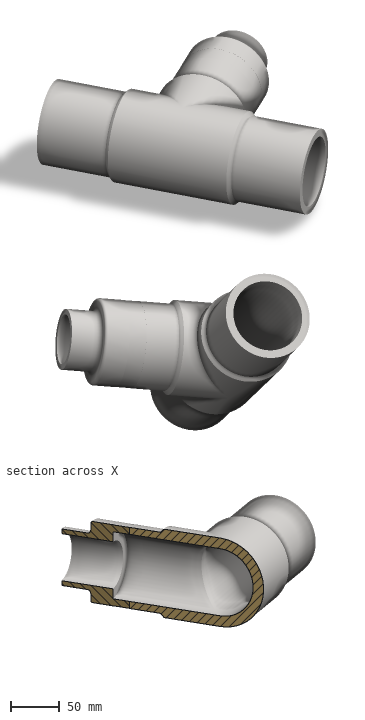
import cadquery as cq

run_length = 286.0
hub_diameter = 98.0
run_diameter = 89.8
branch_diameter = 90.0
bore_diameter = 73.5
hub_half_length = 68.5
branch_hub_end = 67.2
branch_end = 101.8
hub_chamfer = 4.3

overall_depth = 226.8
band_diameter = 89.8
band_length = 18.0
shoulder_length = 43.8
shoulder_radius = 3.0
neck_radius = 3.5
spigot_diameter = 63.0
spigot_bore_diameter = 51.5


def branch_cylinder(diameter, start, end):
    """Cylinder about the Y axis, from Y = start to Y = end."""
    plane = cq.Plane(origin=(0, start, 0), xDir=(1, 0, 0), normal=(0, 1, 0))
    return cq.Workplane(plane).circle(diameter / 2).extrude(end - start)


def run_cylinder(diameter, length):
    """Cylinder about the X axis, centred on the origin."""
    return cq.Workplane("YZ").circle(diameter / 2).extrude(length / 2, both=True)


def make_tee():
    run_hub = run_cylinder(hub_diameter, 2 * hub_half_length).faces("<X or >X").chamfer(hub_chamfer)
    branch_hub = branch_cylinder(hub_diameter, 0, branch_hub_end).faces(">Y").chamfer(hub_chamfer)
    body = run_hub.union(branch_hub)
    body = body.union(run_cylinder(run_diameter, run_length))
    body = body.union(branch_cylinder(branch_diameter, 0, branch_end))
    body = body.cut(run_cylinder(bore_diameter, run_length))
    return body.cut(branch_cylinder(bore_diameter, 0, branch_end))


def make_reducer():
    band_end = branch_end + band_length
    shoulder_end = branch_end + shoulder_length
    reducer_end = overall_depth - hub_diameter / 2
    profile = (
        cq.Workplane("XY")
        .moveTo(0, branch_end)
        .lineTo(band_diameter / 2, branch_end)
        .lineTo(band_diameter / 2, band_end)
        .lineTo(branch_diameter / 2, band_end)
        .lineTo(branch_diameter / 2, shoulder_end - shoulder_radius)
        .radiusArc((branch_diameter / 2 - shoulder_radius, shoulder_end), -shoulder_radius)
        .lineTo(spigot_diameter / 2 + neck_radius, shoulder_end)
        .radiusArc((spigot_diameter / 2, shoulder_end + neck_radius), neck_radius)
        .lineTo(spigot_diameter / 2, reducer_end)
        .lineTo(0, reducer_end)
        .close()
    )
    body = profile.revolve(360, (0, 0, 0), (0, 1, 0))
    body = body.cut(branch_cylinder(spigot_bore_diameter, branch_end, reducer_end))
    return body.cut(branch_cylinder(bore_diameter, branch_end, band_end))


tee = make_tee()
reducer = make_reducer()
result = cq.Compound.makeCompound([tee.val(), reducer.val()])